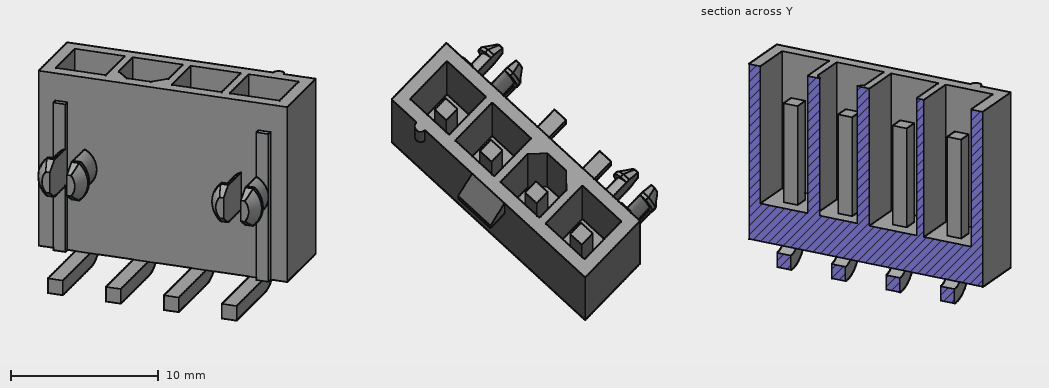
import cadquery as cq
import math


body_width = 18.0
body_depth = 5.4
body_height = 12.8

pin_count = 4
pin_pitch = 4.2
pin_columns = [(i - (pin_count - 1) / 2) * pin_pitch for i in range(pin_count)]

pocket_side = 3.62
pocket_depth = 10.0
pocket_floor_z = body_height - pocket_depth
key_chamfer = 0.94
keyed_pocket = 1

pin_thickness = 1.08
pin_center_y = 2.9
pin_top_z = 10.0
pin_reach = 3.9
pin_drop = 1.64
bend_inner_radius = 0.9

post_slot = 1.25
post_center_z = 6.2
post_offset = pin_columns[-1]
shank_radius = 1.5
shank_length = 2.2
head_radius = 1.8
head_height = 2.74
head_rim_length = 0.27
head_taper_length = 0.86
head_taper_inset = 0.61

rib_width = shank_radius - post_slot / 2
rib_height = 10.8
rib_thickness = 0.4

latch_width = 3.0
latch_height = 1.39
latch_ramp_length = 2.34
latch_outer_length = 3.13
latch_inner_length = 3.06

mark_radius = 0.4
mark_length = latch_inner_length


def corner_box(x_size, y_size, z_size, corner):
    """Box that grows in +X, +Y and +Z from the given corner."""
    return cq.Workplane("XY").box(x_size, y_size, z_size, centered=False).translate(corner)


def make_pocket(center_x, keyed):
    pocket = (
        cq.Workplane("XY", origin=(center_x, body_depth / 2, pocket_floor_z))
        .rect(pocket_side, pocket_side)
        .extrude(pocket_depth)
    )
    if keyed:
        pocket = pocket.faces("<Y").edges("|Z").chamfer(key_chamfer)
    return pocket


def make_pin(center_x):
    """Square pin that stands in a pocket, bends below the housing and points to -Y."""
    back_y = pin_center_y + pin_thickness / 2
    outline = (
        cq.Workplane("YZ", origin=(center_x - pin_thickness / 2, 0, 0))
        .moveTo(-pin_reach, -pin_drop)
        .lineTo(back_y, -pin_drop)
        .lineTo(back_y, pin_top_z)
        .lineTo(back_y - pin_thickness, pin_top_z)
        .lineTo(back_y - pin_thickness, pin_thickness - pin_drop)
        .lineTo(-pin_reach, pin_thickness - pin_drop)
        .close()
    )
    pin = outline.extrude(pin_thickness)
    inner_corner = cq.selectors.NearestToPointSelector(
        (center_x, back_y - pin_thickness, pin_thickness - pin_drop)
    )
    outer_corner = cq.selectors.NearestToPointSelector((center_x, back_y, -pin_drop))
    pin = pin.edges("|X").edges(outer_corner).fillet(bend_inner_radius + pin_thickness)
    return pin.edges("|X").edges(inner_corner).fillet(bend_inner_radius)


def add_taper(rim):
    """Continue a head rim toward -Y with evenly sloping sides."""
    slope = math.degrees(math.atan2(head_taper_inset, head_taper_length))
    tip_base = rim.faces("<Y").wires().toPending().workplane()
    tip = tip_base.extrude(head_taper_length, taper=slope, combine=False)
    return rim.union(tip)


def make_post(center_x):
    """Snap post with a flattened, tapered head, split by a vertical slot."""
    base = cq.Workplane("XZ", origin=(center_x, 0, post_center_z))
    shank = base.circle(shank_radius).extrude(shank_length)
    rim_base = base.workplane(offset=shank_length)
    round_head = add_taper(rim_base.circle(head_radius).extrude(head_rim_length))
    flat_head = add_taper(rim_base.rect(2 * head_radius, head_height).extrude(head_rim_length))
    head = round_head.intersect(flat_head)
    head_length = head_rim_length + head_taper_length
    slot = base.rect(post_slot, 2 * head_radius).extrude(shank_length + head_length)
    return shank.union(head).cut(slot)


def make_rib(side):
    """Standoff rib beside the post; side is -1 for the left end and +1 for the right end."""
    center_x = side * (post_offset + post_slot / 2 + rib_width / 2)
    return corner_box(
        rib_width, rib_thickness, rib_height, (center_x - rib_width / 2, -rib_thickness, 0)
    )


def make_latch():
    profile = [
        (body_depth, body_height),
        (body_depth + latch_height, body_height - latch_ramp_length),
        (body_depth + latch_height, body_height - latch_outer_length),
        (body_depth, body_height - latch_inner_length),
    ]
    return (
        cq.Workplane("YZ", origin=(-latch_width / 2, 0, 0)).polyline(profile).close().extrude(latch_width)
    )


def make_mark():
    """Half-round rib beside the last contact; only its outer half stands clear of the housing."""
    bar = (
        cq.Workplane("XY", origin=(pin_columns[-1], body_depth, body_height - mark_length))
        .circle(mark_radius)
        .extrude(mark_length)
    )
    return bar.intersect(
        corner_box(body_width, mark_radius, body_height, (-body_width / 2, body_depth, 0))
    )


result = corner_box(body_width, body_depth, body_height, (-body_width / 2, 0, 0))

for index, column_x in enumerate(pin_columns):
    result = result.cut(make_pocket(column_x, index == keyed_pocket))

for column_x in pin_columns:
    result = result.union(make_pin(column_x))

for end in (-1, 1):
    result = result.union(make_rib(end))
    result = result.union(make_post(end * post_offset))

result = result.union(make_latch()).union(make_mark())